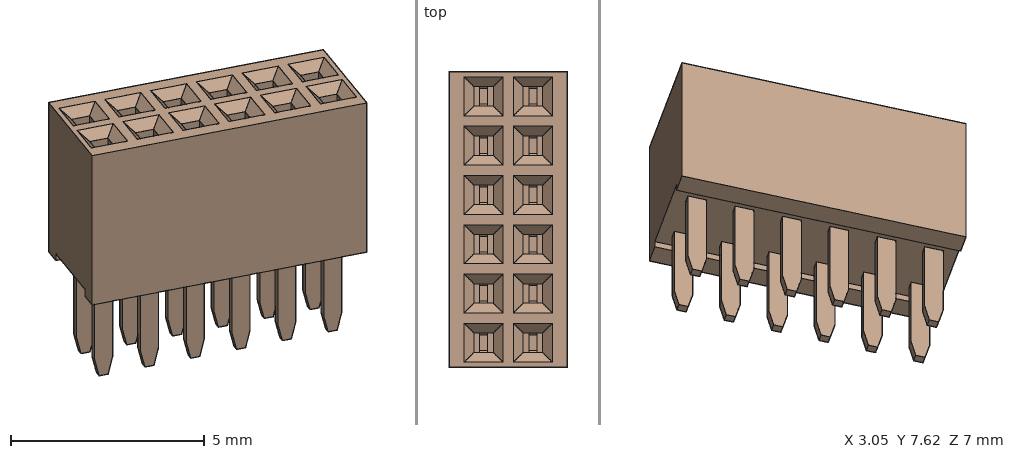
import cadquery as cq

pitch = 1.27
columns = 2
rows = 6
body_width = 3.05
body_length = rows * pitch
body_height = 4.4

foot_width = 0.51
foot_height = 0.2
channel_width = body_width - 2 * foot_width

mouth_size = 1.0
socket_size = 0.5
funnel_depth = (mouth_size - socket_size) / 2
socket_depth = 3.0

pin_thickness = 0.2
pin_width = 0.5
pin_tip_width = 0.25
pin_taper_length = 0.5
pin_bottom = -2.6

slot_floor_length = 0.4
slot_depth = (pin_width - slot_floor_length) / 2

socket_floor = body_height - socket_depth


def at_each_position(shape):
    """Copies of a shape at every contact position of the pitch grid."""
    placed = []
    for column in range(columns):
        for row in range(rows):
            x = (column - (columns - 1) / 2) * pitch
            y = (row - (rows - 1) / 2) * pitch
            placed.append(shape.translate((x, y, 0)))
    return placed


def make_body():
    """Rectangular housing with the clearance channel running along Y."""
    on_seat = (True, True, False)
    body = cq.Workplane("XY").box(body_width, body_length, body_height, centered=on_seat)
    channel = cq.Workplane("XY").box(channel_width, body_length, foot_height, centered=on_seat)
    return body.cut(channel)


def make_socket():
    """Funnel and well, cut from the top face of the housing."""
    funnel = (
        cq.Workplane("XY", origin=(0, 0, body_height))
        .rect(mouth_size, mouth_size)
        .workplane(offset=-funnel_depth)
        .rect(socket_size, socket_size)
        .loft()
    )
    well = (
        cq.Workplane("XY", origin=(0, 0, socket_floor))
        .rect(socket_size, socket_size)
        .extrude(socket_depth - funnel_depth)
    )
    return funnel.union(well)


def make_pin():
    """Pin tail, running from its tapered tip up to the socket floor."""
    taper_top = pin_bottom + pin_taper_length
    return (
        cq.Workplane("YZ")
        .polyline([
            (-pin_tip_width / 2, pin_bottom),
            (pin_tip_width / 2, pin_bottom),
            (pin_width / 2, taper_top),
            (pin_width / 2, socket_floor),
            (-pin_width / 2, socket_floor),
            (-pin_width / 2, taper_top),
        ])
        .close()
        .extrude(pin_thickness / 2, both=True)
    )


def make_slot():
    """Slot across the full pin thickness, opening onto the socket floor."""
    return (
        cq.Workplane("YZ")
        .polyline([
            (-pin_width / 2, socket_floor),
            (pin_width / 2, socket_floor),
            (slot_floor_length / 2, socket_floor - slot_depth),
            (-slot_floor_length / 2, socket_floor - slot_depth),
        ])
        .close()
        .extrude(pin_thickness / 2, both=True)
    )


result = make_body()
for pin in at_each_position(make_pin()):
    result = result.union(pin)
for cavity in at_each_position(make_socket().union(make_slot())):
    result = result.cut(cavity)